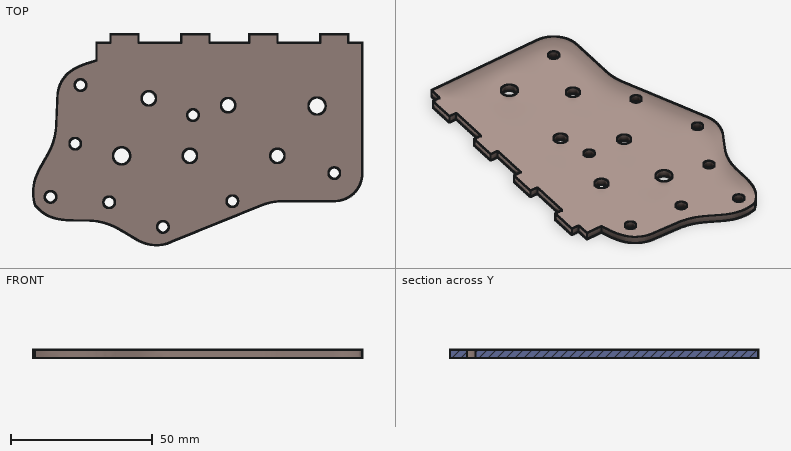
import cadquery as cq

thickness = 3.0
hinge_edge_length = 94.0
right_x = hinge_edge_length / 2
left_x = -right_x

tab_width = 10.0
tab_height = 3.0
tab_end_offsets = (10.0, 35.0)

bottom_y = -56.0
corner_radius = 10.0

slant_start = (-20.48, -70.32)
slant_end = (11.42, -57.42)
blend_end = (18.6, bottom_y)

shoulder = (left_x, -6.25)

left_corner = (-68.6, -57.5)
left_side_points = [
    (-53.2, -8.4),
    (-57.1, -10.9),
    (-60.1, -15.5),
    (-60.9, -21.4),
    (-61.25, -30.4),
    (-62.65, -36.3),
    (-67.2, -44.8),
    (-68.85, -49.0),
    (-69.33, -53.2),
]

lower_side_points = [
    (-67.3, -58.8),
    (-65.1, -60.55),
    (-60.5, -62.3),
    (-55.3, -62.8),
    (-46.9, -63.05),
    (-41.0, -64.8),
    (-34.6, -68.55),
    (-30.1, -70.8),
    (-25.9, -71.55),
]

small_hole_diameter = 4.0
small_holes = [
    (-52.55, -14.95),
    (-54.45, -35.65),
    (-63.15, -54.45),
    (-42.45, -56.35),
    (-23.45, -65.05),
    (1.05, -55.95),
    (37.05, -46.05),
    (-12.85, -25.55),
]
medium_hole_diameter = 5.0
medium_holes = [
    (-28.45, -19.65),
    (-0.45, -22.05),
    (-13.95, -39.95),
    (16.95, -39.95),
]
large_hole_diameter = 6.0
large_holes = [
    (30.95, -22.35),
    (-38.05, -39.95),
]


def make_plate():
    """Flat plate with a hinge edge, a free-form left side and a slanted lower edge."""
    corner_start = (right_x - corner_radius, bottom_y)
    corner_end = (right_x, bottom_y + corner_radius)
    return (
        cq.Workplane("XY")
        .moveTo(right_x, 0)
        .lineTo(left_x, 0)
        .lineTo(*shoulder)
        .spline(left_side_points + [left_corner], includeCurrent=True)
        .spline(lower_side_points + [slant_start], includeCurrent=True)
        .lineTo(*slant_end)
        .tangentArcPoint(blend_end, relative=False)
        .lineTo(*corner_start)
        .tangentArcPoint(corner_end, relative=False)
        .close()
        .extrude(thickness)
    )


def make_tabs():
    """Four hinge tabs standing out from the hinge edge."""
    centers = []
    for offset in tab_end_offsets:
        x = right_x - offset
        centers += [(x, 0), (-x, 0)]
    return (
        cq.Workplane("XY")
        .pushPoints(centers)
        .rect(tab_width, 2 * tab_height)
        .extrude(thickness)
    )


def make_holes(points, diameter):
    """Cutters for through holes of one diameter."""
    return cq.Workplane("XY").pushPoints(points).circle(diameter / 2).extrude(thickness)


result = make_plate().union(make_tabs())
result = result.cut(make_holes(small_holes, small_hole_diameter))
result = result.cut(make_holes(medium_holes, medium_hole_diameter))
result = result.cut(make_holes(large_holes, large_hole_diameter))